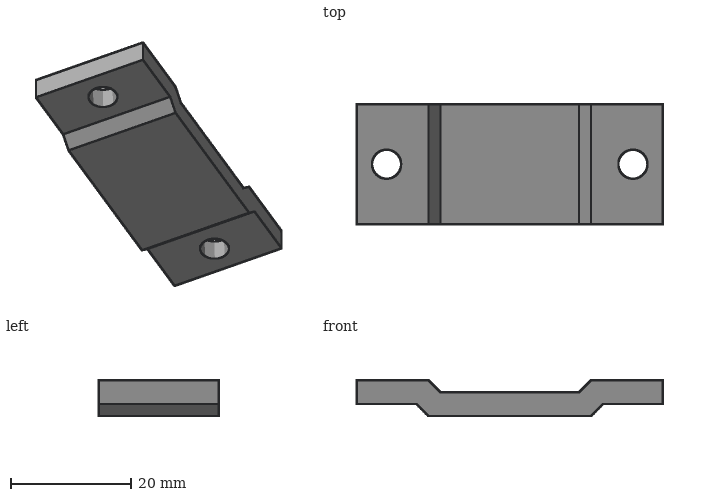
import cadquery as cq

length = 51.0
width = 20.0
thickness = 4.0

drop = 2.0
tab_top_length = 12.0
tab_bottom_length = 10.0

hole_diameter = 4.8
hole_end_distance = 5.0

half_length = length / 2
top_step_x = half_length - tab_top_length
bottom_step_x = half_length - tab_bottom_length
hole_spacing = length - 2 * hole_end_distance
tab_top_z = thickness + drop
tab_bottom_z = drop


def make_plate():
    """Joggled plate: side outline in XZ, extruded across the width."""
    right_half = [
        (0, thickness),
        (top_step_x - drop, thickness),
        (top_step_x, tab_top_z),
        (half_length, tab_top_z),
        (half_length, tab_bottom_z),
        (bottom_step_x, tab_bottom_z),
        (bottom_step_x - drop, 0),
        (0, 0),
    ]
    return (
        cq.Workplane("XZ")
        .polyline(right_half)
        .mirrorY()
        .extrude(width / 2, both=True)
    )


def make_hole_cutters():
    """One vertical cylinder through each end tab."""
    return (
        cq.Workplane("XY")
        .rarray(hole_spacing, 1, 2, 1)
        .circle(hole_diameter / 2)
        .extrude(tab_top_z)
    )


result = make_plate().cut(make_hole_cutters())